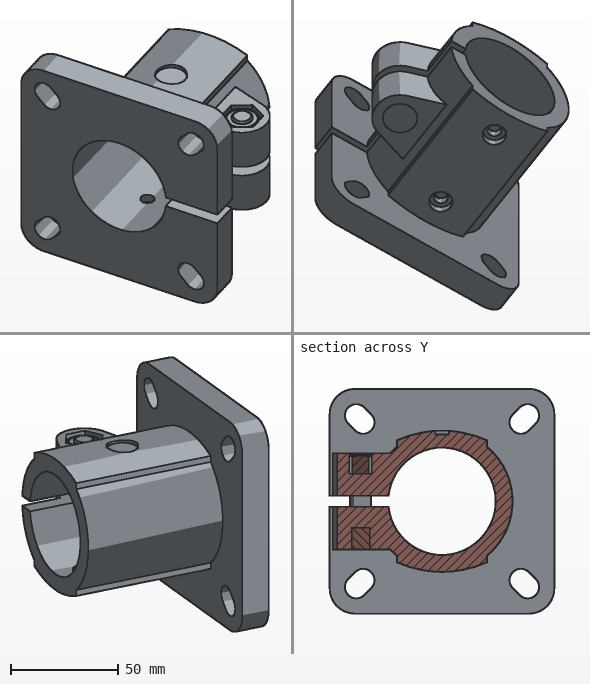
import cadquery as cq
import math

flange_size = 105.0
flange_thickness = 14.0
flange_corner_radius = 12.0
slot_width = 10.5
slot_inner_offset = 36.8
slot_outer_offset = 40.0

total_length = 85.0
tube_diameter = 66.0
bore_diameter = 50.0
slit_width = 5.0

pad_half_width = 21.0
pad_edge_height = 28.5
pad_crown_height = tube_diameter / 2

recess_diameter = 15.0
recess_depth = 1.8
screw_hole_diameter = 6.6
screw_counterbore_diameter = 11.0
screw_counterbore_depth = 4.0
screw_hole_spacing = 45.0

lug_height = 45.0
lug_nose_radius = 13.0
lug_taper_angle = 18.5
clamp_x = 38.0

bolt_diameter = 10.0
bolt_tip_diameter = 8.38
bolt_head_diameter = 16.0
bolt_head_height = 10.0
nut_across_flats = 15.8
nut_chamfer_diameter = 15.6
nut_face_diameter = 14.6
nut_face_height = 0.3
nut_chamfer_angle = 30.0
nut_height = 8.4
nut_pocket_across_flats = 17.0
nut_recess = 1.2

tube_middle_y = (flange_thickness + total_length) / 2
lug_top_z = lug_height / 2
nut_top_z = lug_top_z - nut_recess
nut_seat_z = nut_top_z - nut_height
head_seat_z = bolt_head_height - lug_top_z


def along_y(y):
    """Sketch plane at the given y with local axes -X and Z; positive extrusion goes toward +Y."""
    return cq.Workplane(cq.Plane(origin=(0, y, 0), xDir=(-1, 0, 0), normal=(0, 1, 0)))


def clamp_plane(z):
    """Horizontal sketch plane at the given z, centred on the bolt axis."""
    return cq.Workplane("XY", origin=(clamp_x, tube_middle_y, z))


def hexagon(z, across_flats, height):
    """Upright hexagonal prism on the bolt axis with two corners pointing along Y."""
    across_corners = across_flats / math.cos(math.radians(30))
    sketch_plane = clamp_plane(z).transformed(rotate=(0, 0, 90))
    return sketch_plane.polygon(6, across_corners).extrude(height)


def make_flange():
    plate = along_y(0).rect(flange_size, flange_size).extrude(flange_thickness)
    plate = plate.edges("|Y").fillet(flange_corner_radius)
    slot_middle = (slot_inner_offset + slot_outer_offset) / 2
    slot_length = (slot_outer_offset - slot_inner_offset) * math.sqrt(2) + slot_width
    for x_side in (-1, 1):
        for z_side in (-1, 1):
            slot_angle = 45 * x_side * z_side
            slot = (
                along_y(0)
                .center(x_side * slot_middle, z_side * slot_middle)
                .slot2D(slot_length, slot_width, slot_angle)
                .extrude(flange_thickness)
            )
            plate = plate.cut(slot)
    return plate


def make_tube():
    tube = along_y(0).circle(tube_diameter / 2).extrude(total_length)
    pads = (
        along_y(0)
        .moveTo(-pad_half_width, -pad_edge_height)
        .lineTo(-pad_half_width, pad_edge_height)
        .threePointArc((0, pad_crown_height), (pad_half_width, pad_edge_height))
        .lineTo(pad_half_width, -pad_edge_height)
        .threePointArc((0, -pad_crown_height), (-pad_half_width, -pad_edge_height))
        .close()
        .extrude(total_length)
    )
    return tube.union(pads)


def make_lug():
    """Lug with flanks tangent to its round nose, spreading until its top meets the tube wall."""
    taper = math.radians(lug_taper_angle)
    tangent_x = lug_nose_radius * math.sin(taper)
    tangent_y = lug_nose_radius * math.cos(taper)
    root_x = math.sqrt((tube_diameter / 2) ** 2 - lug_top_z**2) - clamp_x
    root_y = tangent_y + (tangent_x - root_x) * math.tan(taper)
    inner_x = -clamp_x
    return (
        clamp_plane(-lug_top_z)
        .moveTo(inner_x, -root_y)
        .lineTo(root_x, -root_y)
        .lineTo(tangent_x, -tangent_y)
        .threePointArc((lug_nose_radius, 0), (tangent_x, tangent_y))
        .lineTo(root_x, root_y)
        .lineTo(inner_x, root_y)
        .close()
        .extrude(lug_height)
    )


def make_housing():
    body = make_flange().union(make_tube()).union(make_lug())

    body = body.cut(along_y(0).circle(bore_diameter / 2).extrude(total_length))
    slit = cq.Workplane("XY").box(flange_size, total_length, slit_width, centered=(False, False, True))
    body = body.cut(slit)

    recess = (
        cq.Workplane("XY", origin=(0, tube_middle_y, pad_crown_height))
        .circle(recess_diameter / 2)
        .extrude(-recess_depth)
    )
    body = body.cut(recess)

    for side in (-1, 1):
        hole_y = tube_middle_y + side * screw_hole_spacing / 2
        pad_bottom = cq.Workplane("XY", origin=(0, hole_y, -pad_crown_height))
        body = body.cut(pad_bottom.circle(screw_hole_diameter / 2).extrude(pad_crown_height))
        body = body.cut(pad_bottom.circle(screw_counterbore_diameter / 2).extrude(screw_counterbore_depth))

    body = body.cut(clamp_plane(-lug_top_z).circle(bolt_diameter / 2).extrude(lug_height))
    body = body.cut(clamp_plane(-lug_top_z).circle(bolt_head_diameter / 2).extrude(bolt_head_height))
    return body.cut(hexagon(nut_seat_z, nut_pocket_across_flats, lug_top_z - nut_seat_z))


def make_bolt():
    """Cylinder-head bolt, head flush with the lug bottom and tip flush with the lug top."""
    head = clamp_plane(-lug_top_z).circle(bolt_head_diameter / 2).extrude(bolt_head_height)
    tip_chamfer = (bolt_diameter - bolt_tip_diameter) / 2
    shank = clamp_plane(head_seat_z).circle(bolt_diameter / 2).extrude(lug_top_z - head_seat_z)
    shank = shank.faces(">Z").chamfer(tip_chamfer)
    return head.union(shank)


def make_nut():
    """Hexagonal nut with conically chamfered top corners and a raised round face."""
    hex_height = nut_height - nut_face_height
    blank = hexagon(nut_seat_z, nut_across_flats, hex_height)
    top_radius = nut_chamfer_diameter / 2
    base_radius = top_radius + hex_height / math.tan(math.radians(nut_chamfer_angle))
    cone = cq.Workplane(
        cq.Solid.makeCone(
            base_radius, top_radius, hex_height, pnt=cq.Vector(clamp_x, tube_middle_y, nut_seat_z)
        )
    )
    raised_face = clamp_plane(nut_top_z).circle(nut_face_diameter / 2).extrude(-nut_face_height)
    thread_hole = clamp_plane(nut_seat_z).circle(bolt_diameter / 2).extrude(nut_height)
    return blank.intersect(cone).union(raised_face).cut(thread_hole)


housing = make_housing()
bolt = make_bolt()
nut = make_nut()

result = cq.Compound.makeCompound([housing.val(), bolt.val(), nut.val()])